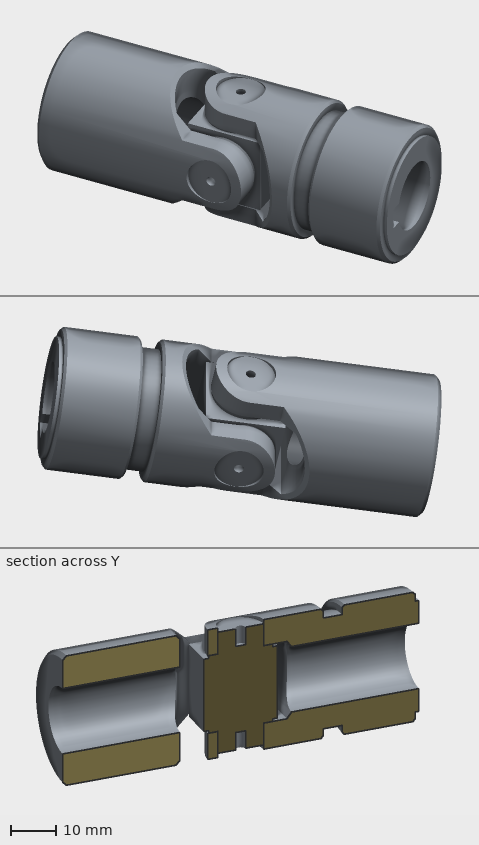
import cadquery as cq

LENGTH = 86.0
JOINT_X = 43.0
BODY_R = 32.0 / 2
BORE_R = 16.0 / 2

ARM_R = BODY_R / 2
ARM_GAP = 18.9
SLOT_END_R = 14.6
SHOULDER_X = 7.65
PIN_R = 11.0 / 2

INPUT_CHAMFER = 0.95
EDGE_CHAMFER = 0.6
NECK_R = 27.4 / 2
SPIGOT_LENGTH = 0.9
GROOVE_START = 62.95
GROOVE_END = 67.4
KEYWAY_WIDTH = 5.0
KEYWAY_FLOOR = 10.3

BLOCK_X = 17.9
BLOCK_Y = 16.85
BLOCK_Z = 17.9
COLLAR_R = 15.5 / 2
PIN_END = 15.0
CENTRE_HOLE_R = 2.2 / 2
CENTRE_HOLE_DEPTH = 4.3

X_AXIS = cq.Vector(1, 0, 0)
Y_AXIS = cq.Vector(0, 1, 0)
Z_AXIS = cq.Vector(0, 0, 1)
JOINT = cq.Vector(JOINT_X, 0, 0)


def rod(radius, length, axis):
    """Cylinder along an axis, centred on the joint centre."""
    return cq.Workplane(cq.Solid.makeCylinder(radius, length, JOINT - axis * (length / 2), axis))


def fork(hub, arm_axis, slot_axis, hub_side):
    """Turn a solid hub into a fork; hub_side is -1 or +1, the X direction from the joint to the hub."""
    slope_end = JOINT_X + hub_side * SHOULDER_X
    slope_start = slope_end + hub_side * (BODY_R - ARM_R)
    hub_end = JOINT_X + hub_side * LENGTH
    plane = cq.Plane((0, 0, 0), xDir=X_AXIS, normal=arm_axis)
    silhouette = (
        cq.Workplane(plane)
        .moveTo(hub_end, BODY_R)
        .lineTo(slope_start, BODY_R)
        .lineTo(slope_end, ARM_R)
        .lineTo(JOINT_X, ARM_R)
        .threePointArc((JOINT_X - hub_side * ARM_R, 0), (JOINT_X, -ARM_R))
        .lineTo(slope_end, -ARM_R)
        .lineTo(slope_start, -BODY_R)
        .lineTo(hub_end, -BODY_R)
        .close()
        .extrude(BODY_R, both=True)
    )
    slot_size = X_AXIS * (2 * SLOT_END_R) + arm_axis * ARM_GAP + slot_axis * (2 * BODY_R)
    slot_block = cq.Workplane().box(*slot_size.toTuple()).translate(JOINT)
    slot = rod(SLOT_END_R, 2 * BODY_R, slot_axis).intersect(slot_block)
    pin_hole = rod(PIN_R, 2 * BODY_R, arm_axis)
    return hub.intersect(silhouette).cut(slot).cut(pin_hole)


def round_bar(start, end, radius):
    """Cylinder on the shaft axis between two X positions."""
    return cq.Workplane("YZ", origin=(start, 0, 0)).circle(radius).extrude(end - start)


def make_input_fork():
    hub = round_bar(0, JOINT_X + BODY_R, BODY_R).faces("<X").chamfer(INPUT_CHAMFER)
    bore = round_bar(0, JOINT_X - ARM_R, BORE_R)
    return fork(hub.cut(bore), Y_AXIS, Z_AXIS, -1)


def make_output_fork():
    front_length = round_bar(JOINT_X - BODY_R, GROOVE_START, BODY_R).faces(">X").chamfer(EDGE_CHAMFER)
    rear_length = round_bar(GROOVE_END, LENGTH - SPIGOT_LENGTH, BODY_R)
    rear_length = rear_length.faces("<X or >X").chamfer(EDGE_CHAMFER)
    neck = round_bar(GROOVE_START, LENGTH, NECK_R)
    hub = front_length.union(neck).union(rear_length)
    bore_start = JOINT_X + ARM_R
    bore = round_bar(bore_start, LENGTH, BORE_R)
    keyway = (
        cq.Workplane("XY")
        .box(LENGTH - bore_start, KEYWAY_FLOOR, KEYWAY_WIDTH, centered=(False, False, True))
        .translate((bore_start, -KEYWAY_FLOOR, 0))
    )
    return fork(hub.cut(bore).cut(keyway), Z_AXIS, Y_AXIS, 1)


def make_cross():
    cross = cq.Workplane().box(BLOCK_X, BLOCK_Y, BLOCK_Z).translate(JOINT)
    pin_axes = [Y_AXIS, Z_AXIS]
    for axis in pin_axes:
        cross = cross.union(rod(COLLAR_R, ARM_GAP, axis)).union(rod(PIN_R, 2 * PIN_END, axis))
    for axis in pin_axes:
        solid_core = rod(CENTRE_HOLE_R, 2 * (PIN_END - CENTRE_HOLE_DEPTH), axis)
        cross = cross.cut(rod(CENTRE_HOLE_R, 2 * PIN_END, axis).cut(solid_core))
    return cross


input_fork = make_input_fork()
output_fork = make_output_fork()
cross = make_cross()

result = cq.Compound.makeCompound([input_fork.val(), output_fork.val(), cross.val()])